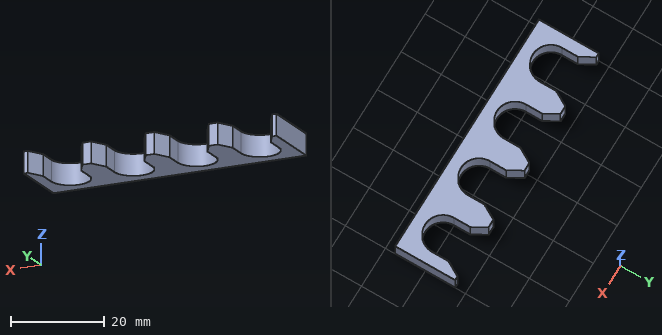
import cadquery as cq
import math

length = 60.0
depth = 15.0
thickness = 5.0

slot_count = 4
pitch = length / slot_count
slot_width = 9.0
slot_radius = slot_width / 2
floor_wall = 3.0

mouth_width = 12.95
flare_angle = 60.0
flare_depth = (mouth_width - slot_width) / 2 * math.tan(math.radians(flare_angle))

back_y = depth / 2
front_y = -depth / 2
slot_bottom_y = front_y + floor_wall
arc_center_y = slot_bottom_y + slot_radius
flare_start_y = back_y - flare_depth


def slot_cutter(center_x):
    """Round-bottomed slot, open at +Y with a flared mouth."""
    return (
        cq.Workplane("XY", origin=(center_x, 0, 0))
        .moveTo(-mouth_width / 2, back_y)
        .lineTo(-slot_radius, flare_start_y)
        .lineTo(-slot_radius, arc_center_y)
        .threePointArc((0, slot_bottom_y), (slot_radius, arc_center_y))
        .lineTo(slot_radius, flare_start_y)
        .lineTo(mouth_width / 2, back_y)
        .close()
        .extrude(thickness)
    )


result = cq.Workplane("XY").box(length, depth, thickness, centered=(True, True, False))
for index in range(slot_count):
    slot_x = (index - (slot_count - 1) / 2) * pitch
    result = result.cut(slot_cutter(slot_x))